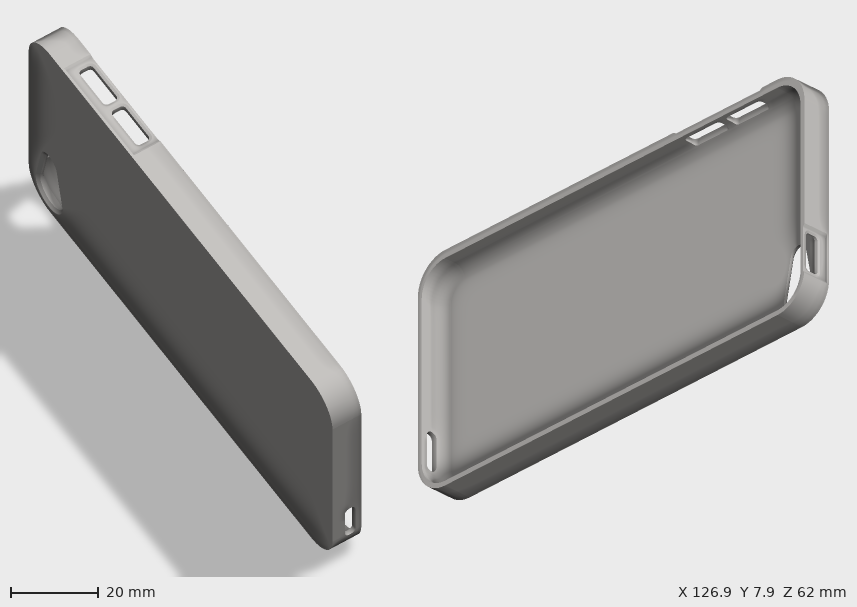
import cadquery as cq
import math

LENGTH = 126.9
THICKNESS = 7.9
WIDTH = 62.0
CORNER_RADIUS = 8.9
WALL = 1.3
BUTTON_WALL = 2.2
BACK_THICKNESS = 1.5
CAVITY_FILLET = 3.0

TEARDROP_X = -54.9
TEARDROP_BIG_Z = -24.0
TEARDROP_SMALL_Z = -12.8
TEARDROP_BIG_RADIUS = 4.8
TEARDROP_SMALL_RADIUS = 2.5
TEARDROP_CHAMFER = 0.8

RECESS_DEPTH = 0.5
RECESS_BEVEL = 0.9
RECESS_FOOT_RADIUS = 0.8
RECESS_LIP = 0.6
SLOT_Y = 0.9
SLOT_HEIGHT = 3.7
SLOT_CORNER_RADIUS = 1.0
SLOT_BEVEL = 0.6
SLOT_BEVEL_DEPTH = 0.3

VOLUME_X = -35.0
VOLUME_RECESS_LENGTH = 29.2
VOLUME_SLOT_LENGTH = 11.4
VOLUME_SLOT_PITCH = 13.5

POWER_Z = -17.0
POWER_RECESS_LENGTH = 13.2
POWER_SLOT_LENGTH = 9.9

SPEAKER_WIDTH = 2.8
SPEAKER_LENGTH = 10.4
SPEAKER_Z = -17.8

BACK_Y = -THICKNESS / 2
OPEN_Y = THICKNESS / 2
FLOOR_Y = BACK_Y + BACK_THICKNESS


def plane_facing_open_side(y):
    """Plane at a given Y with local axes (X, -Z) and its normal along +Y."""
    return cq.Plane(origin=(0, y, 0), xDir=(1, 0, 0), normal=(0, 1, 0))


def rounded_block(length, width, radius, start_y):
    """Block with rounded corners, from a given Y up to the open side."""
    return (
        cq.Workplane(plane_facing_open_side(start_y))
        .rect(length, width)
        .extrude(OPEN_Y - start_y)
        .edges("|Y")
        .fillet(radius)
    )


def case_shell():
    cavity_width = WIDTH - WALL - BUTTON_WALL
    cavity = rounded_block(LENGTH - 2 * WALL, cavity_width, CORNER_RADIUS - WALL, FLOOR_Y)
    cavity = cavity.faces("<Y").edges().fillet(CAVITY_FILLET)
    cavity = cavity.translate((0, 0, (WALL - BUTTON_WALL) / 2))
    return rounded_block(LENGTH, WIDTH, CORNER_RADIUS, BACK_Y).cut(cavity)


def teardrop_wire(plane, offset):
    """Two circles joined by their outer tangents, grown by an offset."""
    big = TEARDROP_BIG_RADIUS + offset
    small = TEARDROP_SMALL_RADIUS + offset
    span = TEARDROP_SMALL_Z - TEARDROP_BIG_Z
    slope = math.asin((big - small) / span)
    across = math.cos(slope)
    along = math.sin(slope)
    big_z = -TEARDROP_BIG_Z
    small_z = -TEARDROP_SMALL_Z
    return (
        cq.Workplane(plane)
        .moveTo(TEARDROP_X - big * across, big_z - big * along)
        .lineTo(TEARDROP_X - small * across, small_z - small * along)
        .threePointArc(
            (TEARDROP_X, small_z - small),
            (TEARDROP_X + small * across, small_z - small * along),
        )
        .lineTo(TEARDROP_X + big * across, big_z - big * along)
        .threePointArc(
            (TEARDROP_X, big_z + big),
            (TEARDROP_X - big * across, big_z - big * along),
        )
        .close()
    )


def teardrop_cutter():
    through = teardrop_wire(plane_facing_open_side(BACK_Y), 0).extrude(BACK_THICKNESS + CAVITY_FILLET)
    outer = teardrop_wire(plane_facing_open_side(BACK_Y), TEARDROP_CHAMFER).wire().val()
    inner = teardrop_wire(plane_facing_open_side(BACK_Y + TEARDROP_CHAMFER), 0).wire().val()
    chamfer = cq.Solid.makeLoft([outer, inner], True)
    return through.union(cq.Workplane(chamfer))


def recess_cutter(length):
    """Recess with sloped ends, cut down from local Z = 0 and open towards +Y."""
    half = length / 2
    floor_half = half - RECESS_BEVEL
    return (
        cq.Workplane("XZ", origin=(0, OPEN_Y, 0))
        .polyline([(-half, 0), (half, 0), (floor_half, -RECESS_DEPTH), (-floor_half, -RECESS_DEPTH)])
        .close()
        .extrude(THICKNESS - RECESS_LIP)
        .edges("|Y and <Z")
        .fillet(RECESS_FOOT_RADIUS)
    )


def slot_cutter(length):
    """Rounded slot through the wall, bevelled where it meets the recess floor."""
    depth = BUTTON_WALL - RECESS_DEPTH + CAVITY_FILLET
    floor = cq.Workplane("XY", origin=(0, SLOT_Y, -RECESS_DEPTH))
    slot = floor.rect(length, SLOT_HEIGHT).extrude(-depth).edges("|Z").fillet(SLOT_CORNER_RADIUS)
    grown = cq.Sketch().rect(length + 2 * SLOT_BEVEL, SLOT_HEIGHT + 2 * SLOT_BEVEL)
    grown = grown.vertices().fillet(SLOT_CORNER_RADIUS + SLOT_BEVEL)
    slope = math.degrees(math.atan2(SLOT_BEVEL, SLOT_BEVEL_DEPTH))
    bevel = floor.placeSketch(grown).extrude(-SLOT_BEVEL_DEPTH, taper=slope)
    return slot.union(bevel)


def button_window(recess_length, slot_length, slot_offsets):
    window = recess_cutter(recess_length)
    for offset in slot_offsets:
        window = window.union(slot_cutter(slot_length).translate((offset, 0, 0)))
    return window


def volume_window():
    offsets = (-VOLUME_SLOT_PITCH / 2, VOLUME_SLOT_PITCH / 2)
    window = button_window(VOLUME_RECESS_LENGTH, VOLUME_SLOT_LENGTH, offsets)
    return window.translate((VOLUME_X, 0, WIDTH / 2))


def power_window():
    window = button_window(POWER_RECESS_LENGTH, POWER_SLOT_LENGTH, (0,))
    return window.rotate((0, 0, 0), (0, 1, 0), -90).translate((-LENGTH / 2, 0, POWER_Z))


def speaker_cutter():
    return (
        cq.Workplane("YZ", origin=(LENGTH / 2, SLOT_Y, SPEAKER_Z))
        .slot2D(SPEAKER_LENGTH, SPEAKER_WIDTH, 90)
        .extrude(-WALL - CAVITY_FILLET)
    )


result = (
    case_shell()
    .cut(teardrop_cutter())
    .cut(volume_window())
    .cut(power_window())
    .cut(speaker_cutter())
)